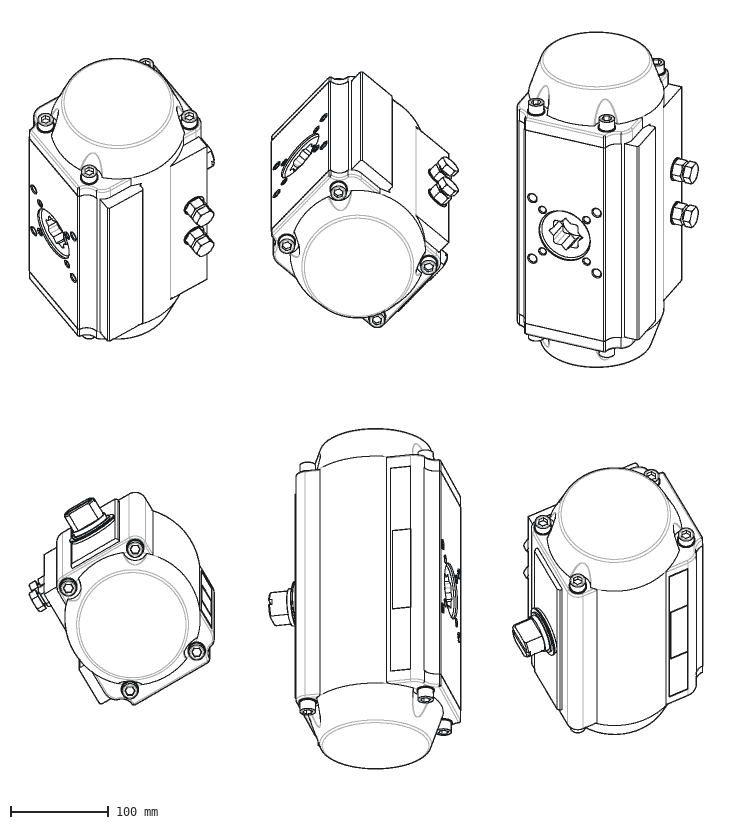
import cadquery as cq
import math


half_length = 166.5
housing_half_length = 115.0
cap_face_z = 128.5

cylinder_radius = 69.3
shaft_side_y = 74.0
shaft_side_half_width = 51.5
foot_y = -79.3
cap_foot_y = -79.0
foot_half_width = 45.5
foot_chamfer_width = 2.0
foot_chamfer_height = 1.0
wall_x = 64.0
wall_end_y = -52.0
wall_round_radius = 16.0
housing_relief_radius = 13.5
cap_relief_radius = 13.0
cap_edge_fillet = 2.0

dome_top_radius = 56.5
dome_edge_fillet = 2.5

cap_screw_x = 39.5
cap_screw_y = 62.0
washer_diameter = 18.0
washer_thickness = 1.0
head_diameter = 16.0
head_top_z = 140.0
head_chamfer_height = 0.3
head_chamfer_width = 1.3
socket_width = 8.5
socket_depth = 5.3
pocket_diameter = 26.0
pocket_rim_fillet = 1.0

shaft_pad_half_width = 28.0
shaft_pad_y = 78.5
shaft_pad_chamfer = 2.3
stop_pad_x = 66.3
stop_pad_y = 65.5
port_pad_x = 75.3
port_pad_top_y = -18.5
port_pad_bottom_y = -62.5
port_pad_chamfer = 1.5
port_pad_root_radius = 2.0

label_top_y = -30.5
plate_top_y = -32.5
plate_half_length = 44.3
label_depth = 0.5

shaft_steps = [(50.0, 81.3), (52.0, 82.5), (44.0, 84.2), (38.5, 89.0)]
shaft_diameter = 35.5
shaft_end_y = 108.5
shaft_chamfer = 1.3
shaft_flats_width = 26.5
shaft_slot_width = 5.0
shaft_slot_depth = 3.5

spigot_diameter = 57.3
spigot_depth = 3.3
spigot_chamfer = 1.5
star_square = 27.5
star_diagonal_square = 26.5
star_corner_radius = 3.3
star_depth = 26.5
drill_tip_angle = 118.0
large_hole_diameter = 8.5
large_hole_offset = 36.0
small_hole_diameter = 6.5
small_hole_offset = 24.5
hole_chamfer = 1.0
hole_depth = 16.5

stop_screw_y = 49.3
stop_screw_z = 26.0
stop_washer_diameter = 24.0
stop_washer_thickness = 1.0
stop_hex_corners = 22.5
stop_nut_thickness = 10.0
stop_stud_diameter = 12.3
stop_head_start_x = 80.0
stop_end_x = 87.5
hex_chamfer = 1.0


def foot_outline(relief_radius, bottom_y):
    """Lower part of the cross-section: walls, rounded corners, hollow flanks and foot."""
    flank_end_y = bottom_y + foot_chamfer_height
    flat_half_width = foot_half_width - foot_chamfer_width
    round_x, round_y = wall_x - wall_round_radius, wall_end_y
    relief_x, relief_y = foot_half_width + relief_radius, flank_end_y
    dx, dy = relief_x - round_x, relief_y - round_y
    distance = math.hypot(dx, dy)
    along = (wall_round_radius**2 - relief_radius**2 + distance**2) / (2 * distance)
    across = math.sqrt(wall_round_radius**2 - along**2)
    junction_x = round_x + (along * dx - across * dy) / distance
    junction_y = round_y + (along * dy + across * dx) / distance
    return (
        cq.Workplane("XY")
        .moveTo(-wall_x, 0)
        .lineTo(-wall_x, wall_end_y)
        .radiusArc((-junction_x, junction_y), -wall_round_radius)
        .radiusArc((-foot_half_width, flank_end_y), relief_radius)
        .lineTo(-flat_half_width, bottom_y)
        .lineTo(flat_half_width, bottom_y)
        .lineTo(foot_half_width, flank_end_y)
        .radiusArc((junction_x, junction_y), relief_radius)
        .radiusArc((wall_x, wall_end_y), -wall_round_radius)
        .lineTo(wall_x, 0)
        .close()
    )


def section_block(relief_radius, bottom_y, start_z, end_z):
    """Prism of the cross-section without its round barrel."""
    length = end_z - start_z
    lower = foot_outline(relief_radius, bottom_y).extrude(length)
    corner_radius = shaft_side_y - cap_screw_y
    upper = (
        cq.Workplane("XY")
        .moveTo(-shaft_side_half_width, 0)
        .rect(2 * shaft_side_half_width, shaft_side_y, centered=False)
        .extrude(length)
        .edges("|Z and >Y")
        .fillet(corner_radius)
    )
    return lower.union(upper).translate((0, 0, start_z))


def cap_screw_points():
    return [(sx * cap_screw_x, sy * cap_screw_y) for sx in (-1, 1) for sy in (-1, 1)]


def make_dome():
    """Barrel with a conical end, cut away around the cap screws."""
    dome = (
        cq.Workplane("XZ")
        .polyline([
            (0, 0),
            (cylinder_radius, 0),
            (cylinder_radius, cap_face_z),
            (dome_top_radius, half_length),
            (0, half_length),
        ])
        .close()
        .revolve(360, (0, 0, 0), (0, 1, 0))
        .faces(">Z")
        .edges()
        .fillet(dome_edge_fillet)
    )
    pockets = (
        cq.Workplane("XY", origin=(0, 0, cap_face_z))
        .pushPoints(cap_screw_points())
        .circle(pocket_diameter / 2)
        .extrude(half_length - cap_face_z)
    )
    dome = dome.cut(pockets)
    return dome.edges("%BSPLINE").fillet(pocket_rim_fillet)


def make_cap_screws():
    """Socket head screws with washers on one end."""
    washers = (
        cq.Workplane("XY", origin=(0, 0, housing_half_length))
        .pushPoints(cap_screw_points())
        .circle(washer_diameter / 2)
        .extrude(cap_face_z + washer_thickness - housing_half_length)
    )
    heads = (
        cq.Workplane("XY", origin=(0, 0, cap_face_z))
        .pushPoints(cap_screw_points())
        .circle(head_diameter / 2)
        .extrude(head_top_z - cap_face_z)
        .faces(">Z")
        .edges()
        .chamfer(head_chamfer_height, head_chamfer_width)
    )
    socket = (
        cq.Workplane("XY", origin=(0, 0, head_top_z))
        .polygon(6, socket_width / math.cos(math.pi / 6))
        .extrude(-socket_depth)
        .rotate((0, 0, 0), (0, 0, 1), 30)
    )
    for x, y in cap_screw_points():
        heads = heads.cut(socket.translate((x, y, 0)))
    return washers.union(heads)


def make_pads():
    """Shaft pad, stop screw pad and port pad along the housing."""
    shaft_pad = (
        cq.Workplane("XY")
        .moveTo(-shaft_pad_half_width, 0)
        .rect(2 * shaft_pad_half_width, shaft_pad_y, centered=False)
        .extrude(housing_half_length, both=True)
        .edges("|Z and >Y")
        .chamfer(shaft_pad_chamfer)
    )
    stop_pad = (
        cq.Workplane("XY")
        .rect(stop_pad_x, stop_pad_y, centered=False)
        .extrude(housing_half_length, both=True)
    )
    port_pad = (
        cq.Workplane("XY")
        .moveTo(0, port_pad_bottom_y)
        .rect(port_pad_x, port_pad_top_y - port_pad_bottom_y, centered=False)
        .extrude(housing_half_length, both=True)
        .edges("|Z and >X")
        .chamfer(port_pad_chamfer)
    )
    root_y = port_pad_top_y + port_pad_root_radius
    root_x = math.sqrt((cylinder_radius + port_pad_root_radius) ** 2 - root_y**2)
    root = (
        cq.Workplane("XY")
        .polyline([(0, 0), (0, port_pad_top_y), (root_x, port_pad_top_y), (root_x, root_y)])
        .close()
        .extrude(housing_half_length, both=True)
    )
    root_round = (
        cq.Workplane("XY")
        .moveTo(root_x, root_y)
        .circle(port_pad_root_radius)
        .extrude(housing_half_length, both=True)
    )
    return shaft_pad.union(stop_pad).union(port_pad).union(root.cut(root_round))


def label_recess(top_y, half_length_z, depth):
    return (
        cq.Workplane("XY")
        .moveTo(-wall_x, wall_end_y)
        .rect(depth, top_y - wall_end_y, centered=False)
        .extrude(half_length_z, both=True)
    )


def cylinder_y(diameter, start_y, end_y):
    """Cylinder on the Y axis."""
    return cq.Workplane("XZ", origin=(0, start_y, 0)).circle(diameter / 2).extrude(start_y - end_y)


def make_shaft():
    """Stepped collar and shaft end with two flats and an indicator slot."""
    shaft = cylinder_y(shaft_diameter, 0, shaft_end_y).faces(">Y").edges().chamfer(shaft_chamfer)
    flats = cq.Workplane("XY").box(2 * shaft_diameter, 4 * shaft_end_y, shaft_flats_width)
    slot = (
        cq.Workplane("XY")
        .box(2 * shaft_diameter, 2 * shaft_slot_depth, shaft_slot_width)
        .translate((0, shaft_end_y, 0))
    )
    shaft = shaft.intersect(flats).cut(slot)
    start_y = shaft_pad_y
    for diameter, end_y in shaft_steps:
        shaft = shaft.union(cylinder_y(diameter, start_y, end_y))
        start_y = end_y
    return shaft


def drilled_hole(diameter, depth):
    """Hole with a drill tip, entering the foot at x = z = 0."""
    radius = diameter / 2
    tip_length = radius / math.tan(math.radians(drill_tip_angle / 2))
    return (
        cq.Workplane("XY")
        .polyline([
            (0, foot_y),
            (radius, foot_y),
            (radius, foot_y + depth),
            (0, foot_y + depth + tip_length),
        ])
        .close()
        .revolve(360, (0, 0, 0), (0, 1, 0))
    )


def screw_hole(diameter):
    """Drilled hole with a chamfered mouth."""
    mouth_radius = diameter / 2 + hole_chamfer
    mouth = (
        cq.Workplane("XY")
        .polyline([(0, foot_y), (mouth_radius, foot_y), (0, foot_y + mouth_radius)])
        .close()
        .revolve(360, (0, 0, 0), (0, 1, 0))
    )
    return drilled_hole(diameter, hole_depth).union(mouth)


def make_mounting_cuts():
    """Spigot recess, double-square drive and two square patterns of screw holes."""
    spigot = cylinder_y(spigot_diameter, foot_y, foot_y + spigot_depth)
    spigot = spigot.faces(">Y").edges().chamfer(spigot_chamfer)
    square = (
        cq.Workplane("XZ", origin=(0, foot_y, 0))
        .rect(star_square, star_square)
        .extrude(-star_depth)
        .edges("|Y")
        .fillet(star_corner_radius)
    )
    diagonal_square = (
        cq.Workplane("XZ", origin=(0, foot_y, 0))
        .rect(star_diagonal_square, star_diagonal_square)
        .extrude(-star_depth)
        .rotate((0, 0, 0), (0, 1, 0), 45)
    )
    cuts = spigot.union(square).union(diagonal_square)
    cuts = cuts.union(drilled_hole(star_square, star_depth))
    patterns = [
        (large_hole_diameter, large_hole_offset),
        (small_hole_diameter, small_hole_offset),
    ]
    for diameter, offset in patterns:
        hole = screw_hole(diameter)
        for sx in (-1, 1):
            for sz in (-1, 1):
                cuts = cuts.union(hole.translate((sx * offset, 0, sz * offset)))
    return cuts


def hex_x(start_x, end_x):
    """Hexagon along X with corners towards +Y and -Y and a chamfered outer end."""
    length = end_x - start_x
    prism = cq.Workplane("YZ").polygon(6, stop_hex_corners).extrude(length)
    rounding = (
        cq.Workplane("YZ")
        .circle(stop_hex_corners / 2)
        .extrude(length)
        .faces(">X")
        .edges()
        .chamfer(hex_chamfer)
    )
    return prism.intersect(rounding).translate((start_x, 0, 0))


def make_stop_screw():
    """Stop screw with washer and lock nut, on the X axis."""
    nut_start_x = stop_pad_x + stop_washer_thickness
    washer = (
        cq.Workplane("YZ", origin=(stop_pad_x, 0, 0))
        .circle(stop_washer_diameter / 2)
        .extrude(stop_washer_thickness)
    )
    stud = (
        cq.Workplane("YZ", origin=(shaft_side_half_width, 0, 0))
        .circle(stop_stud_diameter / 2)
        .extrude(stop_head_start_x - shaft_side_half_width)
    )
    nut = hex_x(nut_start_x, nut_start_x + stop_nut_thickness)
    return stud.union(washer).union(nut).union(hex_x(stop_head_start_x, stop_end_x))


housing = section_block(housing_relief_radius, foot_y, -housing_half_length, housing_half_length)
result = housing.union(make_pads())
cap = section_block(cap_relief_radius, cap_foot_y, housing_half_length, cap_face_z)
cap = cap.faces(">Z").edges().fillet(cap_edge_fillet)

dome_end = make_dome()
screw_end = make_cap_screws()
for end in (cap, dome_end, screw_end):
    result = result.union(end).union(end.mirror("XY"))

result = result.union(make_shaft())
stop_screw = make_stop_screw()
for side in (-1, 1):
    result = result.union(stop_screw.translate((0, stop_screw_y, side * stop_screw_z)))

result = result.cut(label_recess(label_top_y, housing_half_length, label_depth))
result = result.cut(label_recess(plate_top_y, plate_half_length, 2 * label_depth))
result = result.cut(make_mounting_cuts())